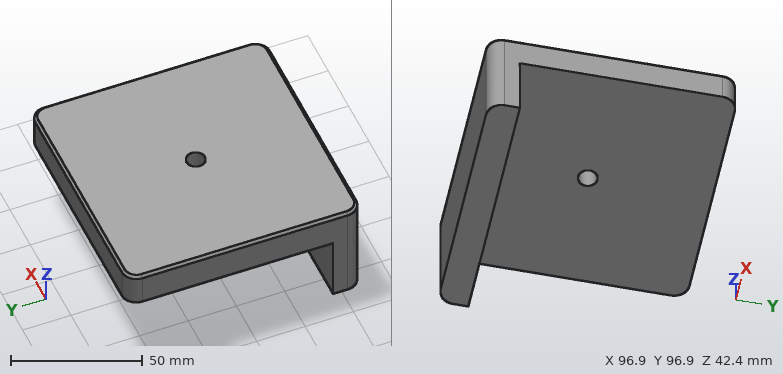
import cadquery as cq

side = 96.9
height = 42.4

plate_thickness = 14.15
leg_thickness = 12.0
corner_radius = 6.0
top_chamfer = 1.2
hole_diameter = 7.5

block = (
    cq.Workplane("XY")
    .rect(side, side)
    .extrude(height)
    .edges("|Z")
    .fillet(corner_radius)
    .faces(">Z")
    .edges()
    .chamfer(top_chamfer)
)

clearance = (
    cq.Workplane("XY")
    .center(0, leg_thickness / 2)
    .rect(side, side - leg_thickness)
    .extrude(height - plate_thickness)
)

hole = cq.Workplane("XY").circle(hole_diameter / 2).extrude(height)

result = block.cut(clearance).cut(hole)